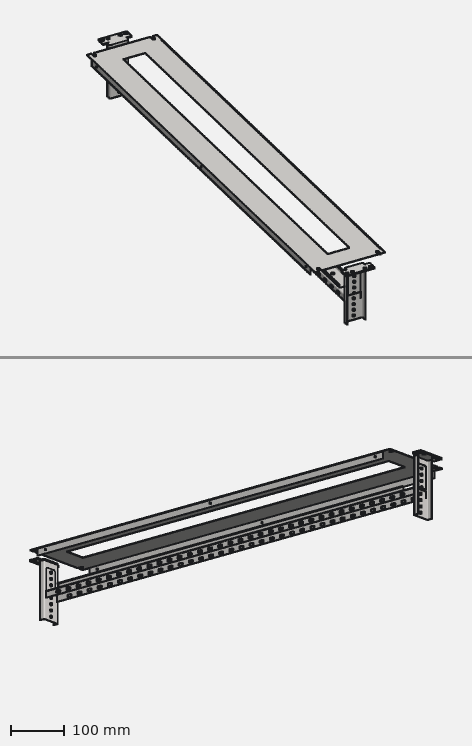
import cadquery as cq
panel_sheet = 1.4
rail_sheet = 1.0
bar_sheet = 2.0
upright_sheet = 2.0
flange_sheet = 3.0

total_length = 965.0
total_depth = 150.0
total_height = 120.0

mount_y = 1.0

panel_length = 888.0
panel_rim_length = 852.0
panel_rim_height = 15.0
window_length = 795.0
window_width = 46.0
notch_depth = 12.0
notch_width = 5.0
notch_y = 63.0
rim_hole_diameter = 3.0
rim_hole_pitch = 407.0
rim_hole_z = -8.0

rail_length = panel_rim_length
rail_width = 35.0
rail_hat_width = 29.0
rail_height = 8.0
rail_top = -55.0
rail_bend_radius = 3.0
rail_hole_diameter = 7.0
rail_hole_pitch = 250.0
rail_hole_count = 4

bar_width = 34.0
bar_height = 14.0
bar_bend_radius = 3.0
bar_top = rail_top - rail_height
slot_count = 35
slot_pitch = 25.0
slot_length = 10.0
slot_height = 5.0
slot_drop = 9.0
end_hole_x = 443.0
end_hole_diameter = 7.0

upright_width = 41.0
upright_depth = 12.0
upright_bend_radius = 3.0
upright_inner_x = 455.0
upright_hole_diameter = 5.0
upright_hole_count = 8
upright_hole_pitch = 12.45
upright_hole_top = -23.0
ear_length = 19.0
ear_width = 61.0
ear_hole_diameter = 7.0
neck_width = 41.5
neck_corner_radius = 4.0
neck_bend_radius = 2.0
ear_hole_inset = 6.3
ear_hole_offsets = (13.1, 24.7)

plate_width = 26.0
plate_top = -15.0
plate_bottom = -62.0
plate_thickness = 2.0
plate_corner_radius = 5.0


def box(x_min, x_max, width, z_min, z_max):
    """Block between two X and two Z positions, centred on Y = 0."""
    return cq.Workplane("XY").box(
        x_max - x_min, width, z_max - z_min, centered=(False, True, False)
    ).translate((x_min, 0, z_min))


def make_panel():
    """Flat panel with rims turned down along both long edges, a window and four end notches."""
    panel = box(-panel_length / 2, panel_length / 2, total_depth, -panel_sheet, 0)
    rims = box(-panel_rim_length / 2, panel_rim_length / 2, total_depth, -panel_rim_height, 0)
    rim_gap = total_depth - 2 * panel_sheet
    gap = box(-panel_length / 2, panel_length / 2, rim_gap, -panel_rim_height, -panel_sheet)
    panel = panel.union(rims).cut(gap)
    window = box(-window_length / 2, window_length / 2, window_width, -panel_sheet, 0)
    panel = panel.cut(window.translate((0, mount_y, 0)))

    corners = [(x, y) for x in (-panel_length / 2, panel_length / 2) for y in (-notch_y, notch_y)]
    notches = (
        cq.Workplane("XY")
        .pushPoints(corners)
        .slot2D(2 * notch_depth, notch_width)
        .extrude(-panel_sheet)
    )
    rim_holes = (
        cq.Workplane("XZ")
        .pushPoints([(i * rim_hole_pitch, rim_hole_z) for i in (-1, 0, 1)])
        .circle(rim_hole_diameter / 2)
        .extrude(total_depth / 2, both=True)
    )
    return panel.cut(notches).cut(rim_holes)


def make_rail():
    """Top-hat rail, open upwards, with lips along both sides and holes in its base."""
    half_length = rail_length / 2
    rail_bottom = rail_top - rail_height
    lips = box(-half_length, half_length, rail_width, rail_top - rail_sheet, rail_top)
    hat = box(-half_length, half_length, rail_hat_width, rail_bottom, rail_top)
    hat = hat.edges("|X and <Z").fillet(rail_bend_radius)
    trough_width = rail_hat_width - 2 * rail_sheet
    trough = box(-half_length, half_length, trough_width, rail_bottom + rail_sheet, rail_top)
    trough = trough.edges("|X and <Z").fillet(rail_bend_radius - rail_sheet)
    holes = (
        cq.Workplane("XY", origin=(0, 0, rail_bottom))
        .rarray(rail_hole_pitch, 10, rail_hole_count, 1)
        .circle(rail_hole_diameter / 2)
        .extrude(rail_sheet)
    )
    return lips.union(hat).cut(trough).cut(holes)


def make_crossbar():
    """Channel open downwards, with a row of slots through both sides and a hole near each end."""
    half_length = upright_inner_x
    bar_bottom = bar_top - bar_height
    bar = box(-half_length, half_length, bar_width, bar_bottom, bar_top)
    bar = bar.edges("|X and >Z").fillet(bar_bend_radius)
    inside = box(-half_length, half_length, bar_width - 2 * bar_sheet, bar_bottom, bar_top - bar_sheet)
    inside = inside.edges("|X and >Z").fillet(bar_bend_radius - bar_sheet)
    slots = (
        cq.Workplane("XZ", origin=(0, 0, bar_top - slot_drop))
        .rarray(slot_pitch, 10, slot_count, 1)
        .slot2D(slot_length, slot_height)
        .extrude(bar_width / 2, both=True)
    )
    end_holes = (
        cq.Workplane("XY", origin=(0, 0, bar_top))
        .rarray(2 * end_hole_x, 10, 2, 1)
        .circle(end_hole_diameter / 2)
        .extrude(-bar_sheet)
    )
    return bar.cut(inside).cut(slots).cut(end_holes)


def make_upright(side):
    """Channel with an eared flange on top; side is -1 for the left one and 1 for the right one."""
    web_x = -upright_inner_x
    outer_x = web_x - upright_depth
    channel = box(outer_x, web_x, upright_width, -total_height, -flange_sheet)
    channel = channel.edges("|Z and >X").fillet(upright_bend_radius)
    inside_width = upright_width - 2 * upright_sheet
    inside = box(outer_x, web_x - upright_sheet, inside_width, -total_height, -flange_sheet)
    inside = inside.edges("|Z and >X").fillet(upright_bend_radius - upright_sheet)
    flange_x = -total_length / 2
    ear = box(flange_x, flange_x + ear_length, ear_width, -flange_sheet, 0)
    neck = box(flange_x, web_x, neck_width, -flange_sheet, 0)
    neck = neck.edges("|Z and >X").fillet(neck_corner_radius)
    neck = neck.edges(">X and >Z").fillet(neck_bend_radius)
    upright = channel.cut(inside).union(neck).union(ear)

    ear_hole_x = flange_x + ear_hole_inset
    ear_hole_centres = [(ear_hole_x, sign * y) for y in ear_hole_offsets for sign in (-1, 1)]
    ear_holes = (
        cq.Workplane("XY")
        .pushPoints(ear_hole_centres)
        .circle(ear_hole_diameter / 2)
        .extrude(-flange_sheet)
    )
    upright = upright.cut(ear_holes).cut(make_web_holes())
    return upright if side < 0 else upright.mirror("YZ")


def make_web_holes():
    """Row of holes through the web of the left upright and its joint plate."""
    reach = upright_sheet + plate_thickness
    return (
        cq.Workplane("YZ", origin=(-upright_inner_x - reach, 0, 0))
        .pushPoints([(0, upright_hole_top - i * upright_hole_pitch) for i in range(upright_hole_count)])
        .circle(upright_hole_diameter / 2)
        .extrude(reach)
    )


def make_joint_plate(side):
    """Plate with rounded top corners against the outer face of an upright's web."""
    plate_x = -upright_inner_x - upright_sheet
    plate = box(plate_x - plate_thickness, plate_x, plate_width, plate_bottom, plate_top)
    plate = plate.edges("|X and >Z").fillet(plate_corner_radius).cut(make_web_holes())
    return plate if side < 0 else plate.mirror("YZ")


panel = make_panel()
rail = make_rail()
crossbar = make_crossbar()
uprights = [make_upright(side) for side in (-1, 1)]
joint_plates = [make_joint_plate(side) for side in (-1, 1)]

mounted_bodies = [body.translate((0, mount_y, 0)) for body in (rail, crossbar, *uprights, *joint_plates)]

result = cq.Compound.makeCompound([panel.val(), *[body.val() for body in mounted_bodies]])